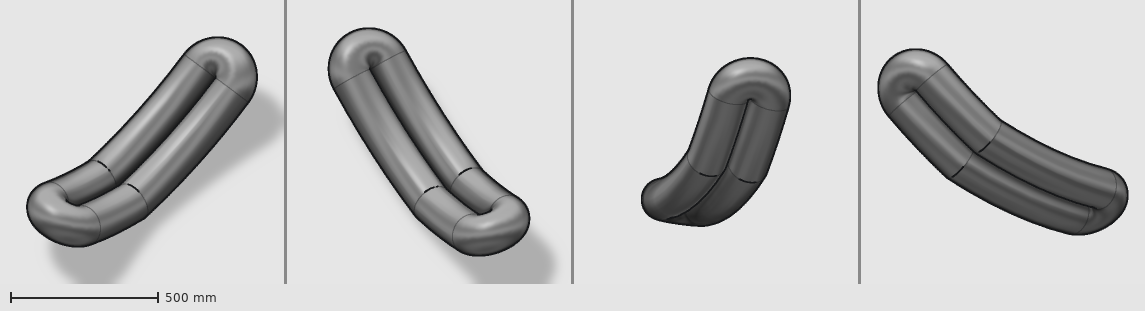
import cadquery as cq
import math

overall_width = 285.0
tube_radius = 70.0
limb_offset = overall_width / 2 - tube_radius
arc_radius = 1159.0
rear_start_angle = 1.0
rear_sweep = 25.9
front_start_angle = 19.0
front_sweep = 13.6
kink_y = -126.0
mitre_overrun = 3.0
block_size = 2034.0


def limb_pair(start_angle, sweep, mitre_angle):
    """Two curved tubes running toward +Y from the origin, trimmed on the mitre plane."""
    tubes = (
        cq.Workplane("XZ", origin=(0, 0, -arc_radius))
        .pushPoints([(-limb_offset, 0), (limb_offset, 0)])
        .circle(tube_radius)
        .revolve(sweep + mitre_overrun, (0, arc_radius, 0), (1, arc_radius, 0))
        .rotate((0, 0, 0), (1, 0, 0), start_angle - mitre_overrun)
    )
    start = math.radians(start_angle)
    tubes = tubes.translate((0, -arc_radius * math.sin(start), arc_radius * math.cos(start)))
    keep_side = (
        cq.Workplane("XY")
        .box(block_size, block_size, block_size, centered=(True, False, True))
        .rotate((0, 0, 0), (1, 0, 0), mitre_angle)
    )
    return tubes.intersect(keep_side)


def u_bend(start_angle, sweep):
    """Half torus closing the far end of a limb pair, in line with its end slope."""
    start = math.radians(start_angle)
    end_angle = start_angle + sweep
    end = math.radians(end_angle)
    end_y = arc_radius * (math.sin(end) - math.sin(start))
    end_z = arc_radius * (math.cos(start) - math.cos(end))
    return (
        cq.Workplane("XZ")
        .center(limb_offset, 0)
        .circle(tube_radius)
        .revolve(180, (-limb_offset, 0, 0), (-limb_offset, 1, 0))
        .rotate((0, 0, 0), (1, 0, 0), end_angle)
        .translate((0, end_y, end_z))
    )


def half_loop(start_angle, sweep, mitre_angle):
    """Limb pair and its U-bend, running toward +Y."""
    return limb_pair(start_angle, sweep, mitre_angle).union(u_bend(start_angle, sweep))


mitre_tilt = (front_start_angle - rear_start_angle) / 2
rear = half_loop(rear_start_angle, rear_sweep, -mitre_tilt)
front = half_loop(front_start_angle, front_sweep, mitre_tilt).mirror("XZ")

result = rear.union(front).translate((0, kink_y, 0))